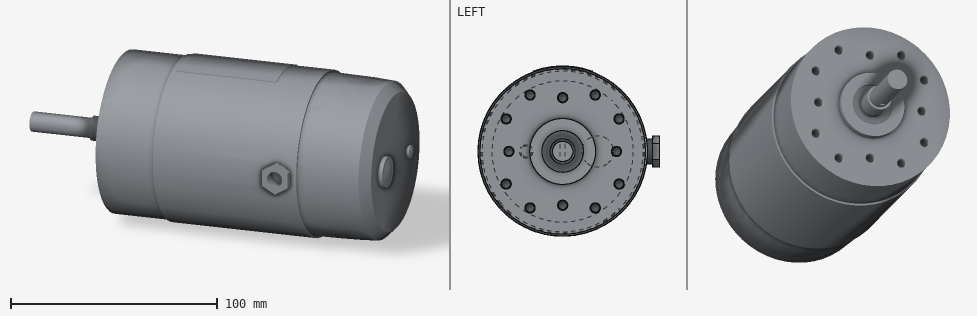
import cadquery as cq
import math


shaft_radius = 5.0
shoulder_start = 31.0
shoulder_radius = 6.0
cross_hole_x = 26.5
cross_hole_diameter = 2.5

pilot_start = 43.0
pilot_radius = 16.0
recess_radius = 10.0
recess_depth = 1.3

housing_start = 47.0
housing_radius = 40.0
barrel_start = 76.8
barrel_radius = 41.0
cover_start = 150.7
cover_front_radius = 39.9
cover_middle_radius = 39.7
cover_rear_radius = 39.0
cover_end = 186.8
cover_chamfer = 4.8

hole_count = 12
drill_diameter = 4.2
hole_chamfer = 0.4
hole_depth = 9.5
drill_point_angle = 118
inner_hole_circle_radius = 26.0
outer_hole_circle_radius = 31.5

plate_start = 79.0
plate_length = 51.7
plate_width = 28.9
plate_thickness = 0.4

gland_x = 141.7
gland_reach = 47.0
gland_neck_diameter = 12.2
gland_head_thickness = 3.5
gland_across_flats = 13.1
gland_bore_diameter = 7.8
gland_bore_depth = 7.6

plug_y = -17.0
plug_radius = 7.6
plug_rim_length = 2.3
plug_dome_radius = 6.0
overall_length = 190.0
rivet_y = 17.7
rivet_neck_radius = 2.7
rivet_neck_length = 0.8
rivet_head_radius = 3.2
rivet_rim_length = 1.0
rivet_dome_radius = 2.7
rivet_dome_height = 0.5


def x_cylinder(start, end, radius, y=0):
    """Cylinder along X between two stations."""
    return cq.Workplane("YZ", origin=(start, y, 0)).circle(radius).extrude(end - start)


def make_body():
    """Shaft, housing, barrel and slightly bulged rear cover as one turned solid."""
    chamfer_start = cover_end - cover_chamfer
    cover_middle = (cover_start + chamfer_start) / 2
    recess_floor = pilot_start + recess_depth
    profile = (
        cq.Workplane("XY")
        .lineTo(0, shaft_radius)
        .lineTo(shoulder_start, shaft_radius)
        .lineTo(shoulder_start, shoulder_radius)
        .lineTo(recess_floor, shoulder_radius)
        .lineTo(recess_floor, recess_radius)
        .lineTo(pilot_start, recess_radius)
        .lineTo(pilot_start, pilot_radius)
        .lineTo(housing_start, pilot_radius)
        .lineTo(housing_start, housing_radius)
        .lineTo(barrel_start, housing_radius)
        .lineTo(barrel_start, barrel_radius)
        .lineTo(cover_start, barrel_radius)
        .lineTo(cover_start, cover_front_radius)
        .threePointArc((cover_middle, cover_middle_radius), (chamfer_start, cover_rear_radius))
        .lineTo(cover_end, cover_rear_radius - cover_chamfer)
        .lineTo(cover_end, 0)
        .close()
    )
    return profile.revolve(360, (0, 0, 0), (1, 0, 0))


def make_name_plate():
    """Thin curved plate following the barrel surface."""
    plate_radius = barrel_radius + plate_thickness
    plate_end = plate_start + plate_length
    sleeve = x_cylinder(plate_start, plate_end, plate_radius)
    footprint = cq.Workplane("XY").box(
        plate_length, plate_width, plate_radius, centered=(False, True, False)
    )
    return sleeve.intersect(footprint.translate((plate_start, 0, 0)))


def make_gland():
    """Round neck carrying a hexagonal head with two corners pointing along Z."""
    head_start = gland_reach - gland_head_thickness
    corner_diameter = gland_across_flats / math.cos(math.pi / 6)
    neck_root = housing_radius
    neck = (
        cq.Workplane("XZ", origin=(gland_x, -neck_root, 0))
        .circle(gland_neck_diameter / 2)
        .extrude(head_start - neck_root)
    )
    head = (
        cq.Workplane("XZ", origin=(gland_x, -head_start, 0))
        .transformed(rotate=(0, 0, 30))
        .polygon(6, corner_diameter)
        .extrude(gland_head_thickness)
    )
    return neck.union(head)


def make_gland_bore():
    """Blind bore in the gland head running inward along Y."""
    return (
        cq.Workplane("XZ", origin=(gland_x, -gland_reach, 0))
        .circle(gland_bore_diameter / 2)
        .extrude(-gland_bore_depth)
    )


def domed_disc(start, rim_end, tip, rim_radius, dome_radius, y):
    """Disc along X whose outer face carries a low spherical dome."""
    dome_height = tip - rim_end
    sphere_radius = (dome_radius**2 + dome_height**2) / (2 * dome_height)
    half_dome_radius = dome_radius / 2
    half_dome_drop = sphere_radius - math.sqrt(sphere_radius**2 - half_dome_radius**2)
    profile = (
        cq.Workplane("XY", origin=(0, y, 0))
        .moveTo(start, 0)
        .lineTo(start, rim_radius)
        .lineTo(rim_end, rim_radius)
        .lineTo(rim_end, dome_radius)
        .threePointArc((tip - half_dome_drop, half_dome_radius), (tip, 0))
        .close()
    )
    return profile.revolve(360, (0, 0, 0), (1, 0, 0))


def make_plug():
    """Large domed plug on the rear face."""
    rim_end = cover_end + plug_rim_length
    return domed_disc(cover_end, rim_end, overall_length, plug_radius, plug_dome_radius, plug_y)


def make_rivet():
    """Mushroom-headed rivet on the rear face."""
    head_start = cover_end + rivet_neck_length
    rim_end = head_start + rivet_rim_length
    tip = rim_end + rivet_dome_height
    neck = x_cylinder(cover_end, head_start, rivet_neck_radius, rivet_y)
    head = domed_disc(head_start, rim_end, tip, rivet_head_radius, rivet_dome_radius, rivet_y)
    return neck.union(head)


def make_mounting_holes():
    """Evenly spaced drilled and chamfered holes; those on the Y and Z axes sit on a smaller circle."""
    hole_radius = drill_diameter / 2
    point_length = hole_radius / math.tan(math.radians(drill_point_angle / 2))
    drill = (
        cq.Workplane("XY")
        .lineTo(0, hole_radius + hole_chamfer)
        .lineTo(hole_chamfer, hole_radius)
        .lineTo(hole_depth, hole_radius)
        .lineTo(hole_depth + point_length, 0)
        .close()
        .revolve(360, (0, 0, 0), (1, 0, 0))
        .translate((housing_start, 0, 0))
    )
    holes = cq.Workplane("XY")
    for step in range(hole_count):
        on_axis = step % (hole_count // 4) == 0
        radius = inner_hole_circle_radius if on_axis else outer_hole_circle_radius
        angle = math.radians(step * 360 / hole_count)
        holes.add(drill.translate((0, radius * math.cos(angle), radius * math.sin(angle))))
    return holes.combine()


def make_cross_hole():
    """Hole straight through the shaft along Z."""
    return (
        cq.Workplane("XY")
        .center(cross_hole_x, 0)
        .circle(cross_hole_diameter / 2)
        .extrude(2 * shaft_radius, both=True)
    )


result = (
    make_body()
    .union(make_name_plate())
    .union(make_gland())
    .union(make_plug())
    .union(make_rivet())
    .cut(make_gland_bore())
    .cut(make_mounting_holes())
    .cut(make_cross_hole())
)